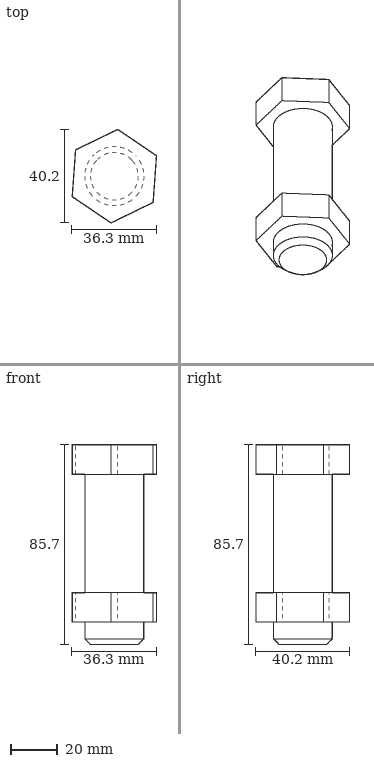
import cadquery as cq

total_length = 85.7
shank_diameter = 25.4
hex_height = shank_diameter / 2
hex_corner_diameter = 40.3
hex_turn = 25.9
grip_length = 2 * shank_diameter
tip_chamfer = 2.5

head_base = total_length - hex_height
nut_base = head_base - grip_length - hex_height


def hex_prism(base_height):
    """Turned hexagonal prism standing on the given height."""
    prism = cq.Workplane("XY").polygon(6, hex_corner_diameter).extrude(hex_height)
    return prism.rotate((0, 0, 0), (0, 0, 1), hex_turn).translate((0, 0, base_height))


shank = cq.Workplane("XY").circle(shank_diameter / 2).extrude(total_length)
shank = shank.faces("<Z").chamfer(tip_chamfer)

result = shank
for base_height in (head_base, nut_base):
    result = result.union(hex_prism(base_height))